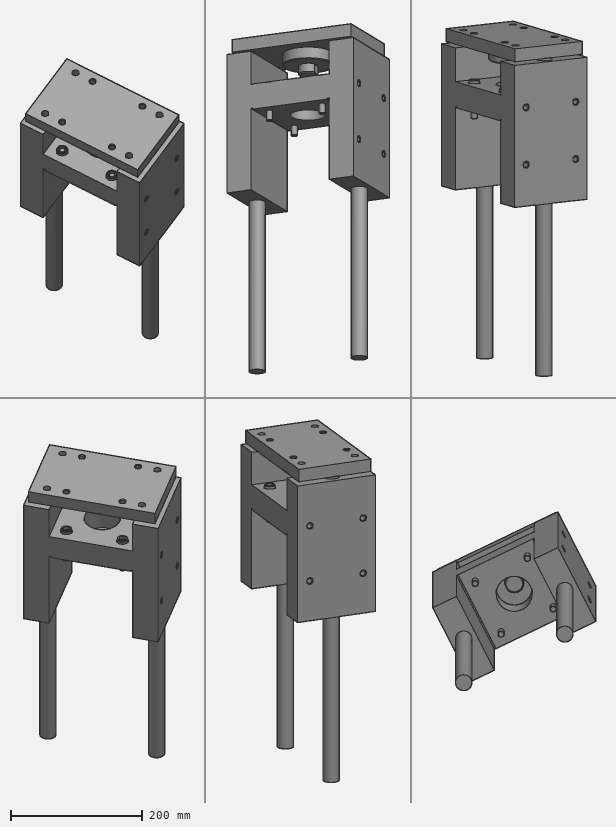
import cadquery as cq
import math

total_height = 513.0

housing_width = 213.0
housing_depth = 130.0
housing_height = 220.0
arm_thickness = 40.5
arm_top_drop = 52.5
bridge_thickness = 40.0
rebate_width = 2.5
rebate_height = 1.5
bridge_bore_diameter = 55.0

plate_width = 200.0
plate_depth = 120.0
plate_thickness = 20.0
plate_gap = 4.0
rod_diameter = 25.0
rod_spacing = 172.0
disc_diameter = 78.0
disc_height = 18.5
disc_chamfer = 1.5
stub_diameter = 30.0
stub_height = 15.0
stub_chamfer = 2.0
flats_width = 27.0
collar_height = 1.0

pattern_pitch = 89.0
clearance_spacing = 150.0
clearance_diameter = 11.0
tapped_diameter = 8.0
tapped_mouth_diameter = 11.0
tapped_depth = 15.0
drill_point_angle = 118.0
side_pattern_drop = 111.5

screw_diameter = 10.0
screw_tip_diameter = 8.0
screw_overhang = 15.5
head_diameter = 16.0
head_chamfer = 1.0
head_height = 10.0
socket_diameter = 10.0
socket_depth = 5.0
counterbore_diameter = 18.0
counterbore_depth = 5.0

plate_bottom = total_height - plate_thickness
housing_top = plate_bottom - plate_gap
housing_bottom = housing_top - housing_height
bridge_top = housing_top - arm_top_drop
bridge_bottom = bridge_top - bridge_thickness
head_seat = bridge_top - counterbore_depth
arm_inner_x = housing_width / 2 - arm_thickness
half_pitch = pattern_pitch / 2
square_pattern = [(u, v) for u in (-half_pitch, half_pitch) for v in (-half_pitch, half_pitch)]
rod_places = [(-rod_spacing / 2, 0), (rod_spacing / 2, 0)]
clearance_x = clearance_spacing / 2
clearance_places = [(x, y) for x in (-clearance_x, clearance_x) for y in (-half_pitch, half_pitch)]


def cylinder(diameter, bottom, top, places=((0, 0),)):
    """Upright cylinders of one diameter between two heights."""
    circles = cq.Workplane("XY").workplane(offset=bottom).pushPoints(places).circle(diameter / 2)
    return circles.extrude(top - bottom)


def tapped_hole():
    """Cutter for a blind hole along -Z from the origin: chamfered mouth, bore and drill point."""
    radius = tapped_diameter / 2
    mouth_radius = tapped_mouth_diameter / 2
    mouth_depth = mouth_radius - radius
    point_length = radius / math.tan(math.radians(drill_point_angle / 2))
    profile = [
        (0, 0),
        (mouth_radius, 0),
        (radius, -mouth_depth),
        (radius, -tapped_depth),
        (0, -tapped_depth - point_length),
    ]
    return cq.Workplane("XZ").polyline(profile).close().revolve(360, (0, 0), (0, 1))


def make_housing():
    """H-shaped block with rod bores, a centre bore, screw holes and tapped side holes."""
    outline = [
        (housing_width / 2, housing_bottom),
        (housing_width / 2, housing_top),
        (arm_inner_x, housing_top),
        (arm_inner_x, bridge_top),
        (0, bridge_top),
        (0, bridge_bottom),
        (arm_inner_x - rebate_width, bridge_bottom),
        (arm_inner_x - rebate_width, bridge_bottom + rebate_height),
        (arm_inner_x, bridge_bottom + rebate_height),
        (arm_inner_x, housing_bottom),
    ]
    half = cq.Workplane("XZ").polyline(outline).close().extrude(housing_depth / 2, both=True)
    body = half.union(half.mirror("YZ"))

    body = body.cut(cylinder(rod_diameter, housing_bottom, housing_top, rod_places))
    body = body.cut(cylinder(bridge_bore_diameter, bridge_bottom, bridge_top))
    body = body.cut(cylinder(screw_diameter, bridge_bottom, bridge_top, square_pattern))
    body = body.cut(cylinder(counterbore_diameter, head_seat, bridge_top, square_pattern))

    pattern_centre = housing_top - side_pattern_drop
    for side in (-1, 1):
        cutter = tapped_hole().rotate((0, 0, 0), (0, 1, 0), side * 90)
        for y, z in square_pattern:
            body = body.cut(cutter.translate((side * housing_width / 2, y, pattern_centre + z)))
    return body


def make_carriage():
    """Top plate with two guide rods and a stepped centre coupling that ends in a flatted stub."""
    body = cq.Workplane("XY").workplane(offset=plate_bottom).rect(plate_width, plate_depth)
    body = body.extrude(plate_thickness)

    body = body.cut(cylinder(clearance_diameter, plate_bottom, total_height, clearance_places))
    for x, y in square_pattern:
        body = body.cut(tapped_hole().translate((x, y, total_height)))

    disc_bottom = plate_bottom - disc_height
    stub_bottom = disc_bottom - stub_height
    body = body.union(cylinder(rod_diameter, 0, plate_bottom, rod_places))
    body = body.union(cylinder(disc_diameter, disc_bottom, plate_bottom).faces("<Z").chamfer(disc_chamfer))

    stub = cylinder(stub_diameter, stub_bottom, disc_bottom).faces("<Z").chamfer(stub_chamfer)
    flats_height = stub_height - collar_height
    between_flats = cq.Workplane("XY").workplane(offset=stub_bottom)
    between_flats = between_flats.rect(flats_width, stub_diameter).extrude(flats_height)
    collar = cylinder(stub_diameter, disc_bottom - collar_height, disc_bottom)
    return body.union(stub.intersect(between_flats.union(collar)))


def make_screw(x, y):
    """Socket-head screw through the bridge, with a chamfered head and tip."""
    tip = bridge_bottom - screw_overhang
    head_top = head_seat + head_height
    tip_chamfer = (screw_diameter - screw_tip_diameter) / 2
    shank = cylinder(screw_diameter, tip, head_seat).faces("<Z").chamfer(tip_chamfer)
    head = cylinder(head_diameter, head_seat, head_top).faces(">Z").chamfer(head_chamfer)
    socket = cylinder(socket_diameter, head_top - socket_depth, head_top)
    return shank.union(head).cut(socket).translate((x, y, 0))


housing = make_housing()
carriage = make_carriage()
screws = [make_screw(x, y) for x, y in square_pattern]

result = cq.Compound.makeCompound([housing.val(), carriage.val(), *[screw.val() for screw in screws]])